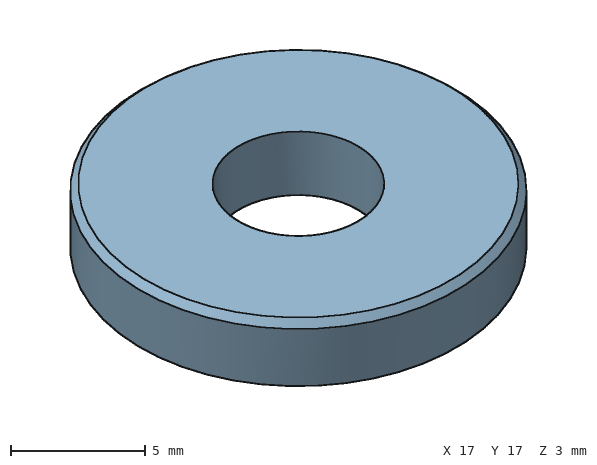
import cadquery as cq

outer_diameter = 17.0
hole_diameter = 6.4
thickness = 3.0
rim_chamfer = 0.3

disc = cq.Workplane("XY").circle(outer_diameter / 2).extrude(thickness)

chamfered_disc = disc.faces(">Z").edges().chamfer(rim_chamfer)

result = chamfered_disc.faces(">Z").workplane().hole(hole_diameter)